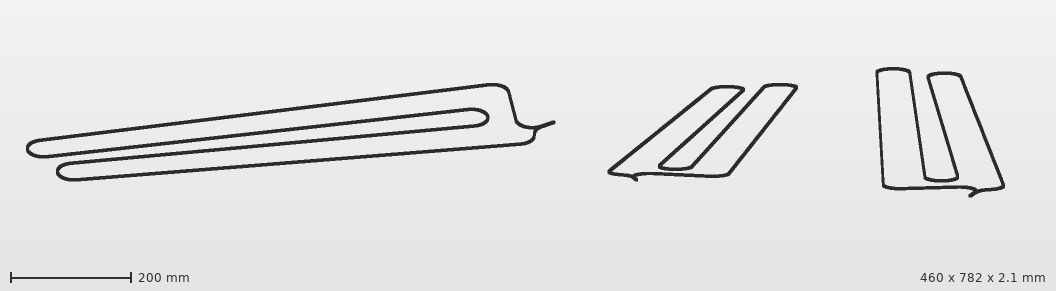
import cadquery as cq
import math

WIDTH = 460.0
LENGTH = 782.0
HEIGHT = 2.1
THICKNESS = 1.1
BEND = 27.0

STUB_X = 429.0
STUB_BASE_Y = 757.0

EDGE = BEND + THICKNESS / 2

CLOCKWISE = -1
COUNTER = 1

BENDS = [
    (STUB_X - EDGE, STUB_BASE_Y, CLOCKWISE),
    (292.5, 749.5, COUNTER),
    (EDGE, EDGE, COUNTER),
    (340.0, 676.0, CLOCKWISE),
    (118.0, EDGE, COUNTER),
    (WIDTH - EDGE, 707.0, COUNTER),
    (STUB_X + EDGE, STUB_BASE_Y, CLOCKWISE),
]


def run_heading(first, second):
    """Direction angle of the straight run tangent to two successive bends."""
    x1, y1, turn1 = first
    x2, y2, turn2 = second
    distance = math.hypot(x2 - x1, y2 - y1)
    lean = math.asin(BEND * (turn1 - turn2) / distance)
    return math.atan2(y2 - y1, x2 - x1) + lean


def bend_arcs(side):
    """Start, middle and end points of every bend on one face of the strip.

    The side is +1 for the face on the left of travel and -1 for the one on the right.
    """
    runs = [run_heading(a, b) for a, b in zip(BENDS, BENDS[1:])]
    headings = [-math.pi / 2] + runs + [math.pi / 2]
    arcs = []
    for (x, y, turn), heading_in, heading_out in zip(BENDS, headings, headings[1:]):
        radius = BEND - turn * side * THICKNESS / 2
        sweep = turn * ((turn * (heading_out - heading_in)) % (2 * math.pi))
        start_angle = heading_in - turn * math.pi / 2
        angles = [start_angle + sweep * part for part in (0, 0.5, 1)]
        arcs.append([(x + radius * math.cos(a), y + radius * math.sin(a)) for a in angles])
    return arcs


def make_loop():
    """Strip through all the bends: out along its left face and back along its right face."""
    return_arcs = [arc[::-1] for arc in reversed(bend_arcs(-1))]
    arcs = bend_arcs(1) + return_arcs
    outline = cq.Workplane("XY").moveTo(*arcs[0][0])
    for index, (start, middle, end) in enumerate(arcs):
        if index > 0:
            outline = outline.lineTo(*start)
        outline = outline.threePointArc(middle, end)
    return outline.close().extrude(HEIGHT)


def make_stub():
    """Two strip thicknesses side by side, straight up from the bends."""
    return (
        cq.Workplane("XY", origin=(STUB_X - THICKNESS, STUB_BASE_Y, 0))
        .box(2 * THICKNESS, LENGTH - STUB_BASE_Y, HEIGHT, centered=False)
    )


result = make_loop().union(make_stub())